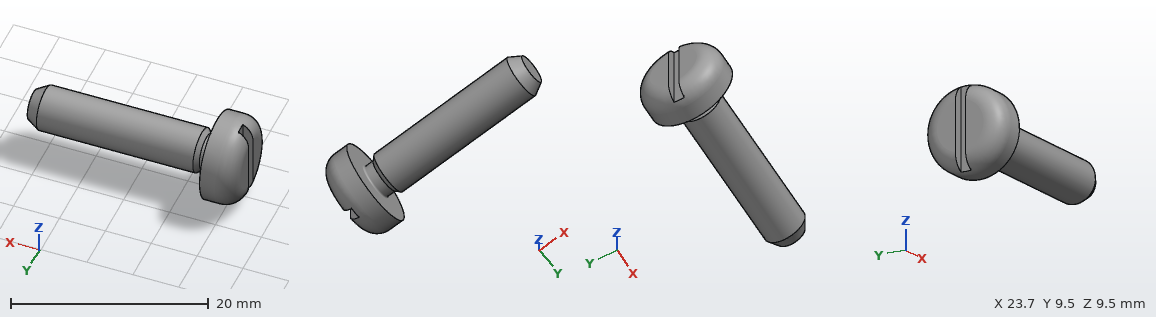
import cadquery as cq

TOTAL_LENGTH = 23.7
HEAD_HEIGHT = 3.7
HEAD_RADIUS = 9.5 / 2
HEAD_ROUND = 2.0

SLOT_WIDTH = 1.2
SLOT_DEPTH = 1.1

THREAD_RADIUS = 4.8 / 2
NECK_RADIUS = 3.8 / 2
NECK_FILLET = 0.2
NECK_LENGTH = 1.15
NECK_CHAMFER = THREAD_RADIUS - NECK_RADIUS

TIP_RADIUS = 3.3 / 2
TIP_LENGTH = 1.3


def screw_body():
    """Revolve the half profile of head, neck, shank and tapered tip about X."""
    thread_start = HEAD_HEIGHT + NECK_LENGTH
    profile = (
        cq.Workplane("XY")
        .lineTo(0, HEAD_RADIUS - HEAD_ROUND)
        .radiusArc((HEAD_ROUND, HEAD_RADIUS), HEAD_ROUND)
        .lineTo(HEAD_HEIGHT, HEAD_RADIUS)
        .lineTo(HEAD_HEIGHT, NECK_RADIUS + NECK_FILLET)
        .radiusArc((HEAD_HEIGHT + NECK_FILLET, NECK_RADIUS), -NECK_FILLET)
        .lineTo(thread_start, NECK_RADIUS)
        .lineTo(thread_start + NECK_CHAMFER, THREAD_RADIUS)
        .lineTo(TOTAL_LENGTH - TIP_LENGTH, THREAD_RADIUS)
        .lineTo(TOTAL_LENGTH, TIP_RADIUS)
        .lineTo(TOTAL_LENGTH, 0)
        .close()
    )
    return profile.revolve(360, (0, 0, 0), (1, 0, 0))


def driver_slot():
    """Flat-bottomed slot across the head, running along Z."""
    return cq.Workplane("XY").box(
        SLOT_DEPTH, SLOT_WIDTH, 2 * HEAD_RADIUS, centered=(False, True, True)
    )


result = screw_body().cut(driver_slot())